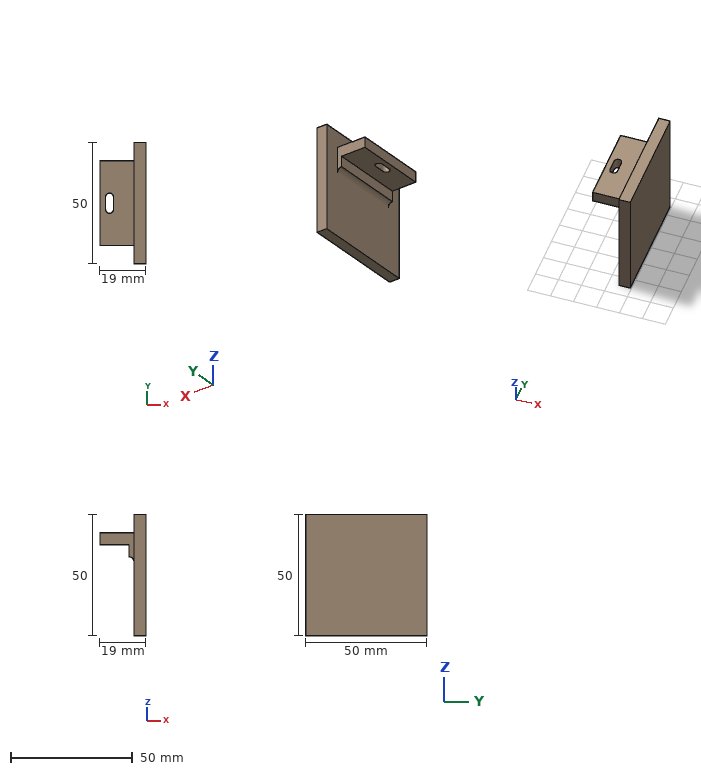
import cadquery as cq

plate_size = 50.0
plate_thickness = 5.0

shelf_reach = 14.0
shelf_width = 35.0
shelf_thickness = 5.0
shelf_margin = (plate_size - shelf_width) / 2

leg_thickness = 2.0
leg_depth = 5.0
cove_radius = leg_thickness

slot_width = 3.2
slot_length = 8.2
slot_from_front_edge = 4.0

shelf_front = -shelf_reach
shelf_top = plate_size / 2 - shelf_margin
shelf_bottom = shelf_top - shelf_thickness
leg_bottom = shelf_bottom - leg_depth


def make_plate():
    return cq.Workplane("XY").box(
        plate_thickness, plate_size, plate_size, centered=(False, True, True)
    )


def make_shelf():
    """Shelf and leg as one profile, extruded evenly to both sides of Y = 0."""
    return (
        cq.Workplane("XZ")
        .moveTo(0, shelf_top)
        .lineTo(shelf_front, shelf_top)
        .lineTo(shelf_front, shelf_bottom)
        .lineTo(-leg_thickness, shelf_bottom)
        .lineTo(-leg_thickness, leg_bottom)
        .radiusArc((0, leg_bottom - cove_radius), cove_radius)
        .close()
        .extrude(shelf_width / 2, both=True)
    )


def make_slot_cutter():
    """Rounded slot, long along Y, reaching through the shelf thickness."""
    return (
        cq.Workplane("XY", origin=(shelf_front + slot_from_front_edge, 0, shelf_bottom))
        .slot2D(slot_length, slot_width, angle=90)
        .extrude(shelf_thickness)
    )


result = make_plate().union(make_shelf()).cut(make_slot_cutter())